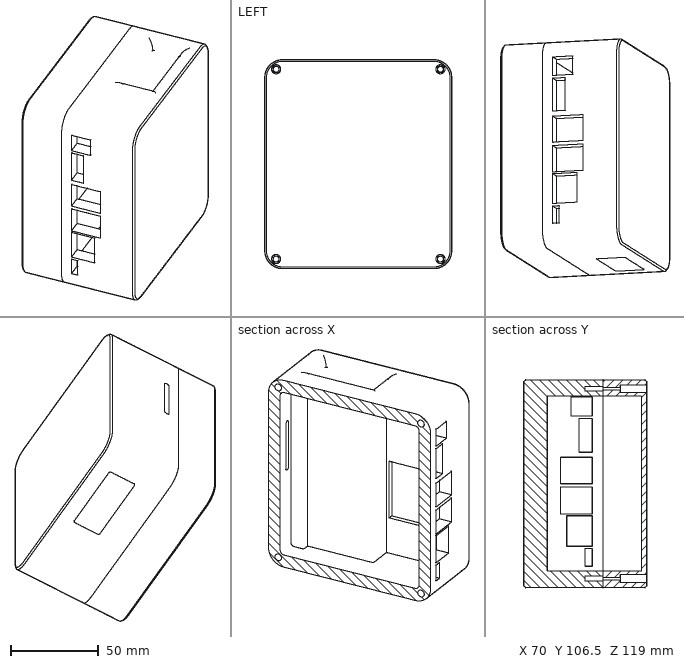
import cadquery as cq
import math

LENGTH_X = 70.0
WIDTH_Y = 106.5
HEIGHT_Z = 119.0
LID_LENGTH = 25.0
CORNER_RADIUS = 10.2
END_CHAMFER = 1.0

WALL = 8.0
CAVITY_RADIUS = CORNER_RADIUS - WALL
CAVITY_Y = WIDTH_Y - 2 * WALL
CAVITY_Z = HEIGHT_Z - 2 * WALL
CAVITY_Y_MAX = CAVITY_Y / 2
LID_FRONT_WALL = 3.0
BACK_WALL_FACE_X = 56.5

SCREW_INSET_Y = 6.5
SCREW_INSET_Z = 5.5
SCREW_CLEARANCE_DIAMETER = 3.3
SCREW_HEAD_DIAMETER = 5.2
SCREW_HEAD_DEPTH = 15.0
INSERT_DIAMETER = 4.0
INSERT_DEPTH = 10.0

WINDOW_LEFT_X = 31.1
WINDOWS = [
    (43.0, 38.6, HEIGHT_Z / 2 - CORNER_RADIUS),
    (38.5, 18.0, 37.0),
    (49.0, 0.0, 15.0),
    (49.0, -17.25, -2.0),
    (45.5, -35.5, -18.3),
    (35.0, -47.0, -37.0),
]

SLOT_CENTER_X = 32.8
SLOT_WIDTH = 3.0
SLOT_BOTTOM_Z = -1.4
SLOT_TOP_Z = 29.6

DUCT_CENTER_X = 51.4
DUCT_CENTER_Y = 15.25
DUCT_X = 17.0
DUCT_Y = 40.0
DUCT_CORNER_RADIUS = 1.0
DUCT_WALL = 1.5
FLARE_RADIUS = 4.8

BLOCK_EDGE_RADIUS = 1.0
SHELF_LEFT_X = 37.0

RECESS_SIZE = 36.0
RECESS_DEPTH = 3.0
RECESS_CENTER_Y = -26.0
RECESS_BOTTOM_Z = -29.1


def box_between(x_min, x_max, y_min, y_max, z_min, z_max):
    return (
        cq.Workplane("XY", origin=(x_min, y_min, z_min))
        .box(x_max - x_min, y_max - y_min, z_max - z_min, centered=False)
    )


def rounded_prism(x_min, x_max, size_y, size_z, radius):
    """Prism along X with a rounded rectangular section."""
    return (
        cq.Workplane("YZ", origin=(x_min, 0, 0))
        .rect(size_y, size_z)
        .extrude(x_max - x_min)
        .edges("|X")
        .fillet(radius)
    )


def corner_bores(x_min, depth, diameter):
    """One bore along +X at each of the four screw positions."""
    return (
        cq.Workplane("YZ", origin=(x_min, 0, 0))
        .rect(WIDTH_Y - 2 * SCREW_INSET_Y, HEIGHT_Z - 2 * SCREW_INSET_Z, forConstruction=True)
        .vertices()
        .circle(diameter / 2)
        .extrude(depth)
    )


def flared_profile(plane, center, width):
    """Section of the flare in one plane: quarter arcs widen it toward the top face."""
    half = width / 2
    top = HEIGHT_Z / 2
    base = top - FLARE_RADIUS
    arc_reach = FLARE_RADIUS * (1 - math.sqrt(0.5))
    return (
        cq.Workplane(plane)
        .moveTo(center - half, base)
        .lineTo(center + half, base)
        .threePointArc(
            (center + half + arc_reach, top - arc_reach),
            (center + half + FLARE_RADIUS, top),
        )
        .lineTo(center - half - FLARE_RADIUS, top)
        .threePointArc((center - half - arc_reach, top - arc_reach), (center - half, base))
        .close()
    )


def duct_bore():
    """Straight rounded bore through the full height."""
    return (
        cq.Workplane("XY", origin=(DUCT_CENTER_X, DUCT_CENTER_Y, -HEIGHT_Z / 2))
        .rect(DUCT_X, DUCT_Y)
        .extrude(HEIGHT_Z)
        .edges("|Z")
        .fillet(DUCT_CORNER_RADIUS)
    )


def duct_flare():
    """Mouth with mitred corners: two crossed prisms keep only their common part."""
    along_y = flared_profile("XZ", DUCT_CENTER_X, DUCT_X).extrude(WIDTH_Y, both=True)
    along_x = flared_profile("YZ", DUCT_CENTER_Y, DUCT_Y).extrude(LENGTH_X)
    return along_y.intersect(along_x)


def inner_block(x_min, y_min, y_max):
    """Full-height block from x_min back into the back wall, with a rounded -X -Y edge."""
    return (
        box_between(x_min, LENGTH_X - WALL, y_min, y_max, -CAVITY_Z / 2, CAVITY_Z / 2)
        .edges("|Z and <X and <Y")
        .fillet(BLOCK_EDGE_RADIUS)
    )


def card_slot():
    length = SLOT_TOP_Z - SLOT_BOTTOM_Z
    center_z = (SLOT_TOP_Z + SLOT_BOTTOM_Z) / 2
    return (
        cq.Workplane("XZ", origin=(SLOT_CENTER_X, WIDTH_Y / 2, center_z))
        .slot2D(length, SLOT_WIDTH, 90)
        .extrude(WIDTH_Y / 2 - DUCT_CENTER_Y)
    )


def build_lid():
    body = rounded_prism(0, LID_LENGTH, WIDTH_Y, HEIGHT_Z, CORNER_RADIUS)
    body = body.faces("<X").chamfer(END_CHAMFER)
    body = body.cut(rounded_prism(LID_FRONT_WALL, LID_LENGTH, CAVITY_Y, CAVITY_Z, CAVITY_RADIUS))
    body = body.cut(corner_bores(0, LID_LENGTH, SCREW_CLEARANCE_DIAMETER))
    return body.cut(corner_bores(0, SCREW_HEAD_DEPTH, SCREW_HEAD_DIAMETER))


def build_housing():
    body = rounded_prism(LID_LENGTH, LENGTH_X, WIDTH_Y, HEIGHT_Z, CORNER_RADIUS)
    body = body.faces(">X").chamfer(END_CHAMFER)
    body = body.cut(rounded_prism(LID_LENGTH, BACK_WALL_FACE_X, CAVITY_Y, CAVITY_Z, CAVITY_RADIUS))

    duct_left = DUCT_CENTER_X - DUCT_X / 2 - DUCT_WALL
    duct_near = DUCT_CENTER_Y - DUCT_Y / 2 - DUCT_WALL
    duct_far = DUCT_CENTER_Y + DUCT_Y / 2 + DUCT_WALL
    body = body.union(inner_block(duct_left, duct_near, duct_far))
    body = body.union(inner_block(SHELF_LEFT_X, duct_far, CAVITY_Y_MAX))
    body = body.cut(duct_bore()).cut(duct_flare())

    for right_x, bottom_z, top_z in WINDOWS:
        body = body.cut(
            box_between(WINDOW_LEFT_X, right_x, -WIDTH_Y / 2, -CAVITY_Y_MAX, bottom_z, top_z)
        )
    body = body.cut(card_slot())

    recess = box_between(
        BACK_WALL_FACE_X, BACK_WALL_FACE_X + RECESS_DEPTH,
        RECESS_CENTER_Y - RECESS_SIZE / 2, RECESS_CENTER_Y + RECESS_SIZE / 2,
        RECESS_BOTTOM_Z, RECESS_BOTTOM_Z + RECESS_SIZE,
    )
    body = body.cut(recess)
    return body.cut(corner_bores(LID_LENGTH, INSERT_DEPTH, INSERT_DIAMETER))


lid = build_lid()
housing = build_housing()
result = cq.Compound.makeCompound([lid.val(), housing.val()])